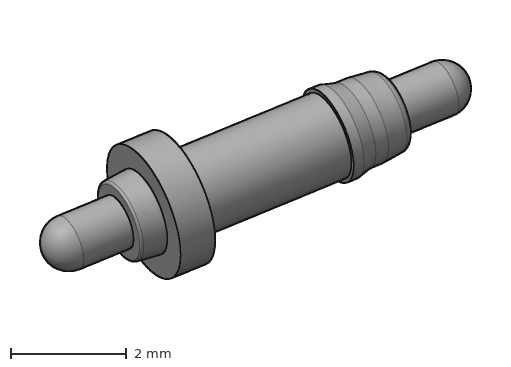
import cadquery as cq
import math

length = 8.5
pin_radius = 0.5
rear_dome_height = 0.47

flange_radius = 1.25
barrel_radius = 0.8
collar_radius = 0.875
nose_end_radius = 0.75
tail_end_radius = 0.74

nose_round = 0.05
tail_round = 0.17

nose_start = 1.505
flange_start = 2.01
flange_end = 2.7
collar_start = 5.7
collar_end = 5.91
neck_start = 6.19
neck_end = 6.44
tail_end = 6.995
rear_dome_start = length - rear_dome_height


def make_pin():
    """Straight round pin with a domed tip at each end."""
    diagonal = pin_radius * math.sqrt(0.5)
    rear_sphere_radius = (pin_radius**2 + rear_dome_height**2) / (2 * rear_dome_height)
    rear_sphere_centre = length - rear_sphere_radius
    rear_mid = rear_sphere_radius * math.sqrt(0.5)
    profile = (
        cq.Workplane("XY")
        .moveTo(0, 0)
        .threePointArc((diagonal, pin_radius - diagonal), (pin_radius, pin_radius))
        .lineTo(pin_radius, rear_dome_start)
        .threePointArc((rear_mid, rear_sphere_centre + rear_mid), (0, length))
        .close()
    )
    return profile.revolve(360, (0, 0, 0), (0, 1, 0))


def make_body():
    """Barrel with tapered nose, flange, press-fit collar and tapered, rounded tail."""
    profile = (
        cq.Workplane("XY")
        .moveTo(0, nose_start)
        .lineTo(nose_end_radius, nose_start)
        .lineTo(barrel_radius, flange_start)
        .lineTo(flange_radius, flange_start)
        .lineTo(flange_radius, flange_end)
        .lineTo(barrel_radius, flange_end)
        .lineTo(barrel_radius, collar_start)
        .lineTo(collar_radius, collar_start)
        .lineTo(collar_radius, collar_end)
        .lineTo(barrel_radius, neck_start)
        .lineTo(barrel_radius, neck_end)
        .lineTo(tail_end_radius, tail_end)
        .lineTo(0, tail_end)
        .close()
    )
    body = profile.revolve(360, (0, 0, 0), (0, 1, 0))
    body = body.faces("<Y").edges().fillet(nose_round)
    return body.faces(">Y").edges().fillet(tail_round)


result = make_body().union(make_pin()).translate((0, -length / 2, 0))